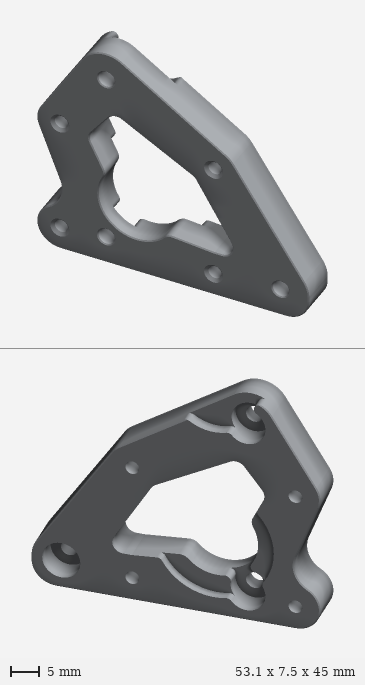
import cadquery as cq
import math

thickness = 7.5
edge_chamfer = 0.2

large_corner = 5.5
clear_pitch = 34.05
clear_left = 13.55
clear_low = large_corner
clear_high = clear_low + clear_pitch
clear_right = clear_left + clear_pitch
clear_diameter = 3.2
bore_radius = 7.0 / 2
bore_depth = 4.5

small_corner = 4.5
sunk_left = small_corner
sunk_right = sunk_left + 30.0
sunk_low = small_corner
sunk_high = sunk_low + 22.5
sunk_diameter = 2.55
sunk_chamfer = 0.6

neck_radius = 5.0
neck_x = -0.15
neck_z = sunk_low + math.sqrt((small_corner + neck_radius) ** 2 - (sunk_left - neck_x) ** 2)

window_sides = [
    (14.25, 17.4),
    (9.9, 26.1),
    (15.0, 32.65),
    (30.75, 24.05),
    (39.75, 9.15),
    (34.6, 9.15),
    (23.05, 10.2),
]
window_corner = 2.0
round_center = (19.5, 14.5)
round_radius = 7.5

upper_relief = (19.5, 45.3)
upper_radius = 8.0
upper_relief_depth = 2.35
window_relief_depth = 1.8
window_relief_radius = 11.0
lip_radius = (large_corner - bore_radius) / 2
notch_start_angle = 122.0

clear_low_left = (clear_left, clear_low)
clear_top = (clear_left, clear_high)
clear_holes = [clear_low_left, clear_top, (clear_right, clear_low)]
sunk_holes = [(x, z) for x in (sunk_left, sunk_right) for z in (sunk_low, sunk_high)]


def front_plane(y):
    """Sketch plane parallel to the front face at depth y; negative extrusion goes to +Y."""
    return cq.Workplane("XZ", origin=(0, y, 0))


def prism(points, y, depth):
    return front_plane(y).polyline(points).close().extrude(-depth)


def cylinder(center, radius, y, depth):
    return front_plane(y).center(*center).circle(radius).extrude(-depth)


def polar(center, radius, angle):
    """Point at a distance and an angle in radians from a centre."""
    return (center[0] + radius * math.cos(angle), center[1] + radius * math.sin(angle))


def tangent_angle(first, second):
    """Angle from both centres to the line that leaves one round and meets the next.

    A round is (x, z, radius); a negative radius is a concave round.
    """
    dx = second[0] - first[0]
    dz = second[1] - first[1]
    cosine = (first[2] - second[2]) / math.hypot(dx, dz)
    return math.atan2(dz, dx) - math.acos(max(-1.0, min(1.0, cosine)))


def belt_outline(rounds):
    """Closed sketch of lines and arcs running counterclockwise around the rounds."""
    count = len(rounds)
    leaving = [tangent_angle(rounds[i], rounds[(i + 1) % count]) for i in range(count)]
    sketch = front_plane(0).moveTo(*polar(rounds[-1][:2], rounds[-1][2], leaving[-1]))
    position = polar(rounds[-1][:2], rounds[-1][2], leaving[-1])
    for i, (x, z, radius) in enumerate(rounds):
        turn = math.remainder(leaving[i] - leaving[i - 1], 2 * math.pi)
        start = polar((x, z), radius, leaving[i - 1])
        end = polar((x, z), radius, leaving[i])
        if math.dist(position, start) > 0.005:
            sketch = sketch.lineTo(*start)
        sketch = sketch.threePointArc(polar((x, z), radius, leaving[i - 1] + turn / 2), end)
        position = end
    return sketch.close()


def meeting_point(first, first_distance, second, second_distance):
    """Point at given distances from two centres, to the right of the way from first to second."""
    span = math.dist(first, second)
    along = (first_distance**2 - second_distance**2 + span**2) / (2 * span)
    heading = math.atan2(second[1] - first[1], second[0] - first[0])
    return polar(first, first_distance, heading - math.acos(along / first_distance))


def lip_beside_line(center, radius, start, end, side):
    """Centre of the lip between a circle and the material beside a line, and its foot on the line.

    Side is 1 when the material lies right of the way from start to end, and -1 when it lies left.
    """
    length = math.dist(start, end)
    ux = (end[0] - start[0]) / length
    uz = (end[1] - start[1]) / length
    inward = (side * uz * lip_radius, -side * ux * lip_radius)
    base = (start[0] + inward[0], start[1] + inward[1])
    along = (center[0] - base[0]) * ux + (center[1] - base[1]) * uz
    across = (center[1] - base[1]) * ux - (center[0] - base[0]) * uz
    reach = along + math.sqrt((radius + lip_radius) ** 2 - across**2)
    lip = (base[0] + reach * ux, base[1] + reach * uz)
    return lip, (lip[0] - inward[0], lip[1] - inward[1])


def make_window():
    straight = prism(window_sides, 0, thickness).edges("|Y").fillet(window_corner)
    window = straight.union(cylinder(round_center, round_radius, 0, thickness))
    cusps = cq.selectors.BoxSelector((12.75, -0.55, 15.95), (14.85, thickness + 0.55, 20.2))
    cusps += cq.selectors.BoxSelector((23.35, -0.55, 7.45), (27.6, thickness + 0.55, 11.7))
    return window.edges("|Y").edges(cusps).fillet(window_corner)


outline_rounds = [
    (sunk_left, sunk_low, small_corner),
    (clear_right + large_corner - small_corner, small_corner, small_corner),
    (clear_right, clear_low, large_corner),
    (sunk_right, sunk_high, small_corner),
    (clear_left, clear_high, large_corner),
    (sunk_left, sunk_high, small_corner),
    (neck_x, neck_z, -neck_radius),
]


def make_plate():
    blank = belt_outline(outline_rounds).extrude(-thickness).faces(">Y").chamfer(edge_chamfer)
    return blank.cut(make_window()).faces("<Y").chamfer(edge_chamfer)


def cut_holes(body):
    for holes, diameter, chamfer in (
        (clear_holes, clear_diameter, edge_chamfer),
        (sunk_holes, sunk_diameter, sunk_chamfer),
    ):
        drill = front_plane(0).pushPoints(holes).circle(diameter / 2).extrude(-thickness)
        mouth = front_plane(0).pushPoints(holes).circle(diameter / 2 + chamfer).extrude(-chamfer, taper=45)
        body = body.cut(drill).cut(mouth)
    return body


def lip_blend(first, first_radius, second, second_radius, depth):
    """Web between two overlapping circles, rounded by a lip tangent to both."""
    lip = meeting_point(first, first_radius + lip_radius, second, second_radius + lip_radius)
    y = thickness - depth
    return prism([first, second, lip], y, depth).cut(cylinder(lip, lip_radius, y, depth))


def bore_blends(radius, depth):
    """Two webs joining the lower left counterbore to a circle concentric with the round window."""
    near = lip_blend(clear_low_left, bore_radius, round_center, radius, depth)
    return near.union(lip_blend(round_center, radius, clear_low_left, bore_radius, depth))


def make_bores():
    """Counterbores in the back; the lower left one opens into the round window with two lips."""
    y = thickness - bore_depth
    bores = front_plane(y).pushPoints(clear_holes).circle(bore_radius).extrude(-bore_depth)
    return bores.union(bore_blends(round_radius, bore_depth))


def make_upper_relief():
    """Notch through the top edge, joining the top counterbore and the upper relief circle."""
    y = thickness - upper_relief_depth
    start = math.radians(notch_start_angle)
    left_lip = polar(clear_top, large_corner - lip_radius, start)
    left_outside = polar(clear_top, 2 * large_corner, start)
    cusp_lip = meeting_point(
        clear_top, bore_radius + lip_radius, upper_relief, upper_radius + lip_radius
    )
    slope = tangent_angle(outline_rounds[3], outline_rounds[4])
    slope_start = polar(clear_top, large_corner, slope)
    slope_end = polar((sunk_right, sunk_high), small_corner, slope)
    right_lip, right_foot = lip_beside_line(upper_relief, upper_radius, slope_start, slope_end, 1)
    right_outside = polar(right_foot, large_corner, slope)
    relief = prism(
        [clear_top, cusp_lip, upper_relief, right_lip, right_outside, left_outside, left_lip], y, upper_relief_depth
    )
    relief = relief.union(cylinder(upper_relief, upper_radius, y, upper_relief_depth))
    for lip in (left_lip, cusp_lip, right_lip):
        relief = relief.cut(cylinder(lip, lip_radius, y, upper_relief_depth))
    return relief


def make_window_relief():
    """Relief concentric with the round window, with lips at both window sides and the counterbore."""
    y = thickness - window_relief_depth
    relief = cylinder(round_center, window_relief_radius, y, window_relief_depth)
    low_side = (window_sides[-1], window_sides[-2], 1)
    left_side = (window_sides[0], window_sides[1], -1)
    for start, end, side in (low_side, left_side):
        lip, foot = lip_beside_line(round_center, window_relief_radius, start, end, side)
        web = prism([round_center, lip, foot], y, window_relief_depth)
        relief = relief.union(web.cut(cylinder(lip, lip_radius, y, window_relief_depth)))
    return relief.union(bore_blends(window_relief_radius, window_relief_depth))


result = cut_holes(make_plate())
result = result.cut(make_bores()).cut(make_upper_relief()).cut(make_window_relief())